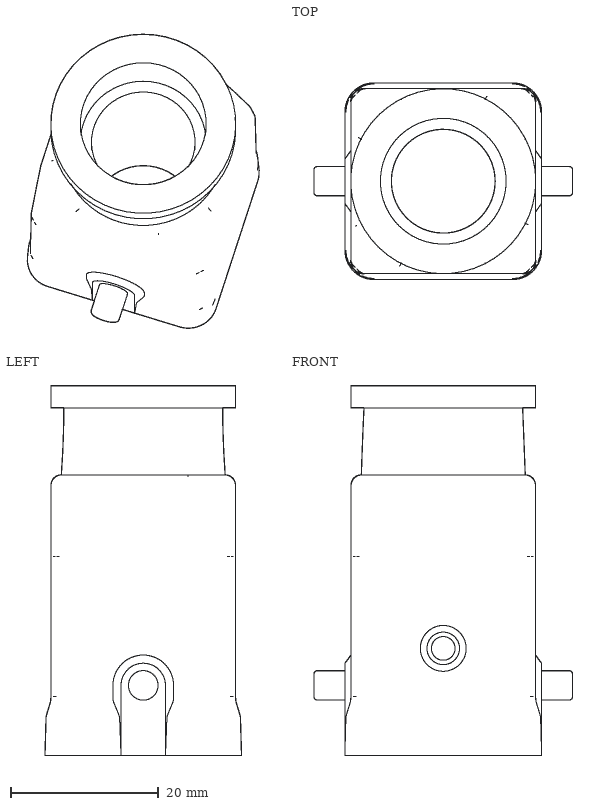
import cadquery as cq
import math

total_height = 50.0
flange_thickness = 3.0
shoulder_height = 37.95

body_width = 25.0
corner_radius_bottom = 17.05
corner_radius_knee = 16.65
corner_radius_shoulder = 13.85
knee_height = 26.95
corner_edge_fillet = 1.25
shoulder_fillet = 1.5

skirt_width = 26.6
skirt_corner_radius = 3.95
skirt_wall_height = 5.3
skirt_wall_inset = 0.15
skirt_slope_height = 7.45
skirt_top_height = 8.0
skirt_edge_fillet = 1.75
skirt_root_fillet = 2.35

flange_diameter = 25.0
neck_diameter_top = 21.5
neck_diameter_bottom = 22.2
entry_bore_diameter = 17.0
entry_bore_depth = 10.0
through_bore_diameter = 14.0

pin_span = 35.0
pin_diameter = 4.0
pin_height = 9.5
pin_end_fillet = 0.5
boss_base_radius = 4.1
boss_face_radius = 3.0

screw_height = 14.5
recess_diameter = 6.2
recess_depth = 0.75
cone_depth = 1.45
screw_bore_diameter = 4.4
screw_bore_depth = 2.1
screw_tip_diameter = 3.2
screw_tip_depth = 3.0


def taper_angle(inset, length):
    """Draft angle in degrees that moves a wall inwards by `inset` over `length`."""
    return math.degrees(math.atan2(inset, length))


def make_body():
    """Square block whose corners are turned down by a stepped cone."""
    block = cq.Workplane("XY").rect(body_width, body_width).extrude(shoulder_height)
    corner_cone = (
        cq.Workplane("XZ")
        .moveTo(0, 0)
        .lineTo(corner_radius_bottom, 0)
        .lineTo(corner_radius_knee, knee_height)
        .lineTo(corner_radius_shoulder, shoulder_height)
        .lineTo(0, shoulder_height)
        .close()
        .revolve(360, (0, 0, 0), (0, 1, 0))
    )
    body = block.intersect(corner_cone)
    body = body.edges("not(%LINE or %CIRCLE)").fillet(corner_edge_fillet)
    return body.faces(">Z").edges().fillet(shoulder_fillet)


def edges_near(height):
    """Selector for edges lying around the given height."""
    reach = skirt_width
    margin = 0.15
    return cq.selectors.BoxSelector(
        (-reach, -reach, height - margin), (reach, reach, height + margin)
    )


def make_skirt_prism():
    """Prism along Y: drafted wall, sloping shoulder and the start of the body wall."""
    half_foot = skirt_width / 2
    half_wall = half_foot - skirt_wall_inset
    half_body = body_width / 2
    side = [
        (half_foot, 0),
        (half_wall, skirt_wall_height),
        (half_body, skirt_slope_height),
        (half_body, skirt_top_height),
    ]
    mirrored_side = [(-x, z) for x, z in reversed(side)]
    prism = (
        cq.Workplane("XZ")
        .polyline(side + mirrored_side)
        .close()
        .extrude(skirt_width / 2, both=True)
    )
    return prism.edges(edges_near(skirt_slope_height)).edges("|Y").fillet(skirt_root_fillet)


def make_skirt():
    """Two crossed prisms trimmed to a round-cornered column, with the rim of the slope eased."""
    column = (
        cq.Workplane("XY")
        .placeSketch(cq.Sketch().rect(skirt_width, skirt_width).vertices().fillet(skirt_corner_radius))
        .extrude(skirt_top_height, taper=taper_angle(skirt_wall_inset, skirt_wall_height))
    )
    prism = make_skirt_prism()
    skirt = prism.intersect(prism.rotate((0, 0, 0), (0, 0, 1), 90)).intersect(column)
    return skirt.edges("%ELLIPSE").fillet(skirt_edge_fillet)


def make_neck():
    """Tapered cable neck carrying a round flange."""
    flange_bottom = total_height - flange_thickness
    return (
        cq.Workplane("XZ")
        .moveTo(0, 0)
        .lineTo(neck_diameter_bottom / 2, 0)
        .lineTo(neck_diameter_bottom / 2, shoulder_height)
        .lineTo(neck_diameter_top / 2, flange_bottom)
        .lineTo(flange_diameter / 2, flange_bottom)
        .lineTo(flange_diameter / 2, total_height)
        .lineTo(0, total_height)
        .close()
        .revolve(360, (0, 0, 0), (0, 1, 0))
    )


def make_pin_boss():
    """Sloped, round-topped boss on the +X side, with its locking pin."""
    boss_depth = (skirt_width - body_width) / 2
    foot = -2 * boss_base_radius
    boss_plane = cq.Workplane("YZ", origin=(body_width / 2, 0, 0))
    boss = (
        boss_plane
        .moveTo(-boss_base_radius, foot)
        .lineTo(-boss_base_radius, pin_height)
        .threePointArc((0, pin_height + boss_base_radius), (boss_base_radius, pin_height))
        .lineTo(boss_base_radius, foot)
        .close()
        .extrude(boss_depth, taper=taper_angle(boss_base_radius - boss_face_radius, boss_depth))
    )
    below_floor = cq.Workplane("XY").box(
        2 * pin_span, 2 * pin_span, total_height, centered=(True, True, False)
    ).translate((0, 0, -total_height))
    pin_root = through_bore_diameter / 2 + boss_base_radius
    pin = (
        cq.Workplane("YZ", origin=(pin_root, 0, pin_height))
        .circle(pin_diameter / 2)
        .extrude(pin_span / 2 - pin_root)
        .faces(">X")
        .edges()
        .fillet(pin_end_fillet)
    )
    return boss.cut(below_floor).union(pin)


def make_bores():
    """Wide entry bore stepping down to the bore that runs right through."""
    through = cq.Workplane("XY").circle(through_bore_diameter / 2).extrude(total_height)
    entry = (
        cq.Workplane("XY", origin=(0, 0, total_height - entry_bore_depth))
        .circle(entry_bore_diameter / 2)
        .extrude(entry_bore_depth)
    )
    return through.union(entry)


def make_screw_hole():
    """Round recess narrowing through a cone to a bore and a smaller tip, along Y."""
    face = -body_width / 2
    return (
        cq.Workplane("XY", origin=(0, 0, screw_height))
        .moveTo(0, face)
        .lineTo(recess_diameter / 2, face)
        .lineTo(recess_diameter / 2, face + recess_depth)
        .lineTo(screw_bore_diameter / 2, face + cone_depth)
        .lineTo(screw_bore_diameter / 2, face + screw_bore_depth)
        .lineTo(screw_tip_diameter / 2, face + screw_bore_depth)
        .lineTo(screw_tip_diameter / 2, face + screw_tip_depth)
        .lineTo(0, face + screw_tip_depth)
        .close()
        .revolve(360, (0, 0, 0), (0, 1, 0))
    )


pin_boss = make_pin_boss()
hood = make_body().union(make_skirt()).union(make_neck())
for boss in (pin_boss, pin_boss.mirror("YZ")):
    hood = hood.union(boss)

result = hood.cut(make_bores()).cut(make_screw_hole())